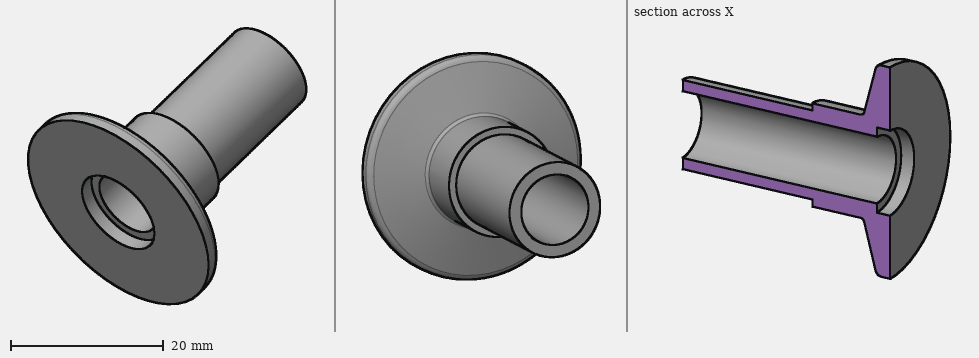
import cadquery as cq
import math

overall_length = 32.0

flange_diameter = 30.0
flange_corner_height = 2.1
flange_taper_angle = 15.0
rim_round_radius = 1.0

collar_diameter = 14.7
collar_root_radius = 0.5

tube_diameter = 12.7
tube_length = 20.0

bore_diameter = 9.4
counterbore_diameter = 12.0
counterbore_depth = 2.0

flange_radius = flange_diameter / 2
collar_radius = collar_diameter / 2
tube_radius = tube_diameter / 2
collar_end = overall_length - tube_length
cone_rise = (flange_radius - collar_radius) * math.tan(math.radians(flange_taper_angle))
collar_root = flange_corner_height + cone_rise


def circular_edge(body, radius, height):
    """Select the circular edge of the given radius at the given Y position."""
    tolerance = 0.01
    lower = (-radius - tolerance, height - tolerance, -radius - tolerance)
    upper = (radius + tolerance, height + tolerance, radius + tolerance)
    return body.edges(cq.selectors.BoxSelector(lower, upper, boundingbox=True))


def make_outer_body():
    """Revolve the stepped outline, then round the rim and the collar root."""
    body = (
        cq.Workplane("XY")
        .moveTo(0, 0)
        .lineTo(flange_radius, 0)
        .lineTo(flange_radius, flange_corner_height)
        .lineTo(collar_radius, collar_root)
        .lineTo(collar_radius, collar_end)
        .lineTo(tube_radius, collar_end)
        .lineTo(tube_radius, overall_length)
        .lineTo(0, overall_length)
        .close()
        .revolve(360, (0, 0, 0), (0, 1, 0))
    )
    body = circular_edge(body, flange_radius, flange_corner_height).fillet(rim_round_radius)
    return circular_edge(body, collar_radius, collar_root).fillet(collar_root_radius)


def make_cylinder(diameter, length):
    """Cylinder on the Y axis, running from the flange face toward +Y."""
    return cq.Workplane("XZ").circle(diameter / 2).extrude(-length)


through_bore = make_cylinder(bore_diameter, overall_length)
counterbore = make_cylinder(counterbore_diameter, counterbore_depth)
result = make_outer_body().cut(through_bore).cut(counterbore)